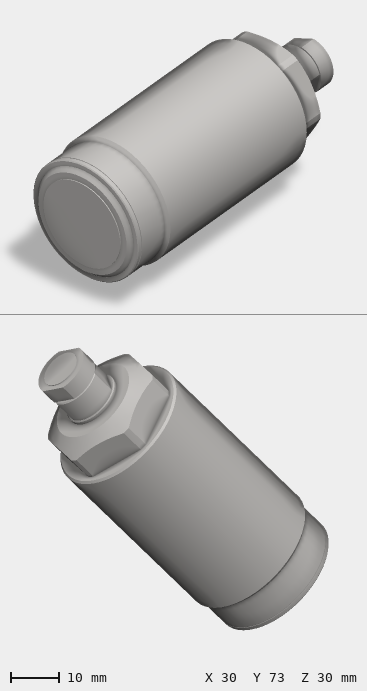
import cadquery as cq
import math


total_length = 73.0
face_radius = 10.3
face_height = 0.2
bevel_front_radius = 11.8
bevel_rear_radius = 12.85
shoulder_y = 1.2
collar_radius = 14.15
collar_edge = 0.2
groove_y = 2.2
groove_width = 0.2
groove_depth = 0.15

barrel_radius = 15.0
barrel_front_y = 10.4
barrel_rear_y = 53.95
barrel_edge = 0.45

hex_across_flats = 24.1
hex_corner_radius = 13.5
hex_end_y = 62.05
hex_end_radius = 9.35
hex_bevel_angle = 30.0

fitting_radius = 5.85
flat_distance = 5.1
flange_radius = 6.1
flange_length = 0.95
flange_edge = 0.2
fitting_end_y = 68.9
fitting_edge = 0.3
fitting_flat_angle = 166.5
nut_flat_angle = 114.0
nut_tip_radius = 4.15
nut_tip_height = 0.2


def turned(profile):
    """Revolve a closed (radius, y) outline about the Y axis."""
    return cq.Workplane("XY").polyline(profile).close().revolve(360, (0, 0, 0), (0, 1, 0))


def cylinder(radius, start_y, end_y):
    return turned([(0, start_y), (radius, start_y), (radius, end_y), (0, end_y)])


def two_flats(radius, start_y, end_y, angle):
    """Cylinder with two opposite wrench flats facing the given direction."""
    length = end_y - start_y
    slab = (
        cq.Workplane("XY")
        .box(2 * flat_distance, length, 2 * radius)
        .rotate((0, 0, 0), (0, 1, 0), -angle)
        .translate((0, start_y + length / 2, 0))
    )
    return cylinder(radius, start_y, end_y).intersect(slab)


def make_hexagon():
    """Hexagon with flats facing +Z and -Z, rounded corners and a conical end."""
    hex_length = hex_end_y - barrel_rear_y
    hex_across_corners = hex_across_flats / math.cos(math.pi / 6)
    prism = (
        cq.Workplane("XZ", origin=(0, barrel_rear_y, 0))
        .polygon(6, hex_across_corners)
        .extrude(-hex_length)
    )
    bevel_length = (hex_corner_radius - hex_end_radius) * math.tan(math.radians(hex_bevel_angle))
    envelope = turned([
        (0, barrel_rear_y),
        (hex_corner_radius, barrel_rear_y),
        (hex_corner_radius, hex_end_y - bevel_length),
        (hex_end_radius, hex_end_y),
        (0, hex_end_y),
    ])
    return prism.intersect(envelope)


def make_housing():
    groove_radius = collar_radius - groove_depth
    groove_end_y = groove_y + groove_width
    bevel_length = bevel_rear_radius - bevel_front_radius
    collar_end_y = barrel_front_y - (barrel_radius - collar_radius)
    barrel = turned([
        (0, 0),
        (face_radius, 0),
        (face_radius, face_height),
        (bevel_front_radius, face_height),
        (bevel_rear_radius, face_height + bevel_length),
        (bevel_rear_radius, shoulder_y),
        (collar_radius - collar_edge, shoulder_y),
        (collar_radius, shoulder_y + collar_edge),
        (collar_radius, groove_y),
        (groove_radius, groove_y),
        (groove_radius, groove_end_y),
        (collar_radius, groove_end_y),
        (collar_radius, collar_end_y),
        (barrel_radius, barrel_front_y),
        (barrel_radius, barrel_rear_y - barrel_edge),
        (barrel_radius - barrel_edge, barrel_rear_y),
        (0, barrel_rear_y),
    ])
    return barrel.union(make_hexagon())


def make_fitting():
    """Flanged stub seated on the end of the hexagon."""
    flange_end_y = hex_end_y + flange_length
    flange = cylinder(flange_radius, hex_end_y, flange_end_y).faces(">Y").chamfer(flange_edge)
    stub = two_flats(fitting_radius, flange_end_y, fitting_end_y, fitting_flat_angle)
    bevel = turned([
        (0, flange_end_y),
        (fitting_radius, flange_end_y),
        (fitting_radius, fitting_end_y - fitting_edge),
        (fitting_radius - fitting_edge, fitting_end_y),
        (0, fitting_end_y),
    ])
    return flange.union(stub.intersect(bevel))


def make_nut():
    """Nut with two flats and a low round tip."""
    nut_end_y = total_length - nut_tip_height
    nut = two_flats(fitting_radius, fitting_end_y, nut_end_y, nut_flat_angle)
    return nut.union(cylinder(nut_tip_radius, nut_end_y, total_length))


housing = make_housing()
fitting = make_fitting()
nut = make_nut()

result = cq.Compound.makeCompound([housing.val(), fitting.val(), nut.val()])